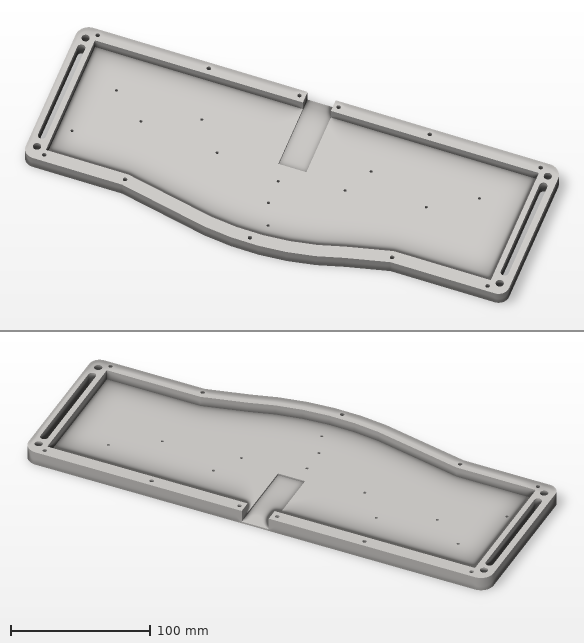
import cadquery as cq

length = 369.2
width = 139.5
height = 11.0
half_length = length / 2

left_front_y = 17.0
right_front_y = 19.2
left_bend_x = -107.8
right_bend_x = 96.7
arc_start = (-60.0, 7.0)
arc_bottom = (-5.5, 0.0)
arc_end = (64.5, 11.5)

back_corner_radius = 10.0
front_corner_radius = 8.0

wall = 10.0
end_wall = 14.8
floor = 3.0

channel_left_x = -10.7
channel_right_x = 10.7
channel_front_y = 78.3
channel_floor = 1.5

strap_width = 6.0
strap_x = 177.0
strap_back_y = 123.0
strap_front_ends = {-strap_x: 35.0, strap_x: 36.0}
strap_hole_back_y = 129.2
strap_hole_points = [
    (-strap_x, strap_hole_back_y),
    (strap_x, strap_hole_back_y),
    (-strap_x, 27.7),
    (strap_x, 28.8),
]

rim_hole_diameter = 3.2
rim_back_y = width - wall / 2
rim_corner_x = 169.5
rim_back_x = [-rim_corner_x, -84.5, -15.0, 14.8, 84.5, rim_corner_x]
rim_front_points = [
    (-rim_corner_x, 22.5),
    (-107.5, 22.0),
    (-5.5, 4.8),
    (96.5, 23.5),
    (rim_corner_x, 23.5),
]

mount_hole_diameter = 2.2
mount_points = [
    (-160.0, 54.5),
    (-142.0, 99.0),
    (-116.3, 79.5),
    (-75.5, 96.0),
    (-55.5, 72.5),
    (-5.5, 64.0),
    (-5.5, 43.5),
    (1.0, 24.7),
    (42.5, 72.7),
    (54.3, 95.0),
    (102.3, 79.0),
    (135.5, 99.3),
]


def outline():
    """Tray outline with sharp corners."""
    return (
        cq.Workplane("XY")
        .moveTo(-half_length, width)
        .lineTo(-half_length, left_front_y)
        .lineTo(left_bend_x, left_front_y)
        .lineTo(*arc_start)
        .threePointArc(arc_bottom, arc_end)
        .lineTo(right_bend_x, right_front_y)
        .lineTo(half_length, right_front_y)
        .lineTo(half_length, width)
        .close()
    )


def box_between(x_min, x_max, y_min, y_max, z_min):
    """Box from z_min up to the top of the tray."""
    size = (x_max - x_min, y_max - y_min, height - z_min)
    return cq.Workplane("XY").box(*size, centered=False).translate((x_min, y_min, z_min))


def round_holes(points, diameter):
    return cq.Workplane("XY").pushPoints(points).circle(diameter / 2).extrude(height)


def strap_slot(x, front_y):
    slot_length = strap_back_y - front_y
    return (
        cq.Workplane("XY")
        .center(x, (strap_back_y + front_y) / 2)
        .slot2D(slot_length, strap_width, 90)
        .extrude(height)
    )


body = outline().extrude(height)
body = body.edges("|Z and >Y").fillet(back_corner_radius)
for corner in [(-half_length, left_front_y), (half_length, right_front_y)]:
    corner_edge = cq.selectors.NearestToPointSelector((*corner, height / 2))
    body = body.edges("|Z").edges(corner_edge).fillet(front_corner_radius)

inner_half_length = half_length - end_wall
inset = outline().offset2D(-wall, "intersection").extrude(height)
cavity = inset.intersect(box_between(-inner_half_length, inner_half_length, 0, width, floor))
body = body.cut(cavity)

body = body.cut(box_between(channel_left_x, channel_right_x, channel_front_y, width, channel_floor))

for slot_x, slot_front_y in strap_front_ends.items():
    body = body.cut(strap_slot(slot_x, slot_front_y))
body = body.cut(round_holes(strap_hole_points, strap_width))

rim_points = [(x, rim_back_y) for x in rim_back_x] + rim_front_points
body = body.cut(round_holes(rim_points, rim_hole_diameter))
result = body.cut(round_holes(mount_points, mount_hole_diameter))